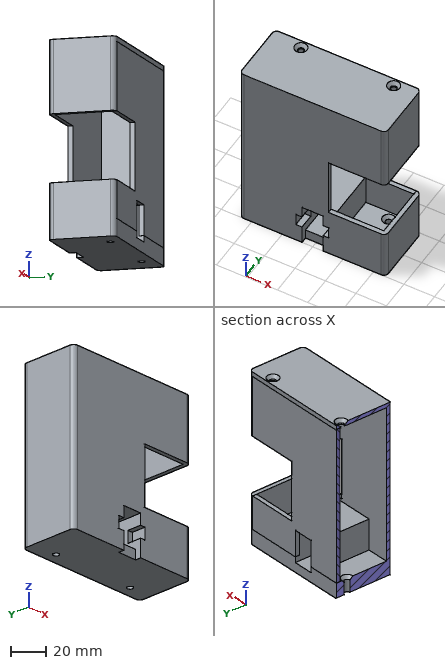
import cadquery as cq

WIDTH = 96.0
DEPTH = 40.0
HEIGHT = 116.0
WALL = 3.0
CORNER_RADIUS = WALL
FLOOR_HEIGHT = 10.4
CEILING_Z = HEIGHT - WALL

WINDOW_X = 58.3
WINDOW_BOTTOM = 33.0
WINDOW_HEIGHT = 39.9
WINDOW_TOP = WINDOW_BOTTOM + WINDOW_HEIGHT

SLOT_WIDTH = 13.9
SLOT_CENTER_X = WIDTH / 2
SLOT_TOP = 28.2
SILL_TOP = 6.6
SILL_SETBACK = 4.0
NOTCH_WIDTH = 21.6
NOTCH_CENTER_X = 47.8
NOTCH_BOTTOM = 12.4
NOTCH_HEIGHT = 8.1
NOTCH_DEPTH = 10.0

SCREW_DIAMETER = 4.0
HEAD_DIAMETER = 8.0
SCREW_PITCH = 60.9
TOP_SCREW_X = 20.1
TOP_SCREW_Y = DEPTH - 5.0
FLOOR_SCREW_X = 18.7
FLOOR_SCREW_Y = DEPTH - 8.2


def block(x_range, y_range, z_range):
    """Box between the given pairs of coordinates."""
    (x0, x1), (y0, y1), (z0, z1) = x_range, y_range, z_range
    return cq.Workplane("XY").box(x1 - x0, y1 - y0, z1 - z0, centered=False).translate((x0, y0, z0))


def span(center, width):
    """Pair of coordinates centred on a place."""
    return (center - width / 2, center + width / 2)


def countersunk_hole(x, y, face_z, thickness):
    """Cutter for a 90 degree countersink and its hole, down from an upward face."""
    head_radius = HEAD_DIAMETER / 2
    screw_radius = SCREW_DIAMETER / 2
    profile = [
        (0, 0),
        (head_radius, 0),
        (screw_radius, screw_radius - head_radius),
        (screw_radius, -thickness),
        (0, -thickness),
    ]
    cutter = cq.Workplane("XZ").polyline(profile).close().revolve(360, (0, 0), (0, 1))
    return cutter.translate((x, y, face_z))


def screw_holes(first_x, y, face_z, thickness):
    """Pair of countersunk holes, one screw pitch apart."""
    first = countersunk_hole(first_x, y, face_z, thickness)
    second = countersunk_hole(first_x + SCREW_PITCH, y, face_z, thickness)
    return first.add(second).combine()


def cavity(y_range):
    """Inside of the housing, between its side walls, floor and ceiling."""
    return block((WALL, WIDTH - WALL), y_range, (FLOOR_HEIGHT, CEILING_Z))


def window():
    return block((WINDOW_X, WIDTH), (0, DEPTH), (WINDOW_BOTTOM, WINDOW_TOP))


def through_slot():
    """Part of the slot above the sill, which passes from front to back."""
    return block(span(SLOT_CENTER_X, SLOT_WIDTH), (0, DEPTH), (SILL_TOP, SLOT_TOP))


def slot_surround():
    """Solid mass inside the cavity, in which the slot and its notches are cut."""
    return block(
        span(NOTCH_CENTER_X, NOTCH_WIDTH + 2 * WALL),
        (WALL, DEPTH - WALL),
        (FLOOR_HEIGHT, SLOT_TOP + WALL),
    )


def make_housing():
    housing = block((0, WIDTH), (0, DEPTH), (0, HEIGHT)).edges("|Z").fillet(CORNER_RADIUS)

    housing = housing.cut(cavity((WALL, DEPTH)))
    housing = housing.union(slot_surround())

    housing = housing.cut(window())
    housing = housing.cut(through_slot())
    sill_front = block(span(SLOT_CENTER_X, SLOT_WIDTH), (0, SILL_SETBACK), (0, SILL_TOP))
    housing = housing.cut(sill_front)
    notch_z = (NOTCH_BOTTOM, NOTCH_BOTTOM + NOTCH_HEIGHT)
    housing = housing.cut(block(span(NOTCH_CENTER_X, NOTCH_WIDTH), (0, NOTCH_DEPTH), notch_z))

    housing = housing.cut(screw_holes(TOP_SCREW_X, TOP_SCREW_Y, HEIGHT, WALL))
    return housing.cut(screw_holes(FLOOR_SCREW_X, FLOOR_SCREW_Y, FLOOR_HEIGHT, FLOOR_HEIGHT))


def make_back_cover():
    """Plate set flush into the open back, with the same window and slot."""
    cover = cavity((DEPTH - WALL, DEPTH))
    return cover.cut(window()).cut(through_slot())


housing = make_housing()
back_cover = make_back_cover()

result = cq.Compound.makeCompound([housing.solids().val(), back_cover.solids().val()])